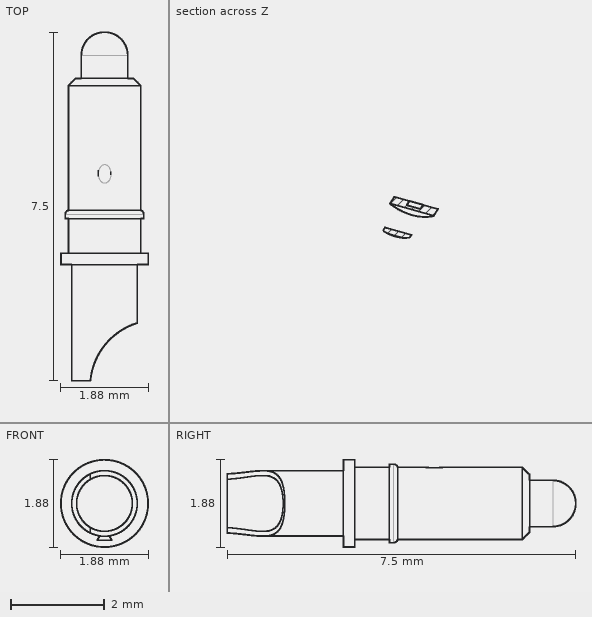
import cadquery as cq
import math

total_length = 7.5
end_y = -total_length / 2

cup_radius = 0.705
bore_radius = 0.6
bore_depth = 2.5
drill_point_angle = 118
scoop_radius = 1.43
scoop_center_x = 1.125
scoop_center_station = -0.13

flange_radius = 0.941
flange_start = 2.5
flange_end = 2.745

recess_top_width = 0.21
recess_bottom_width = 0.315
recess_height = 0.08
recess_depth = 0.15

barrel_radius = 0.78
barrel_end = 6.5
barrel_chamfer = 0.16

ring_radius = 0.85
ring_start = 3.49
ring_shoulder = 3.58
ring_end = 3.67

plunger_radius = 0.5
tip_start = total_length - plunger_radius

dimple_station = 4.455
dimple_length = 0.4
dimple_width = 0.27


def turned_body():
    """Revolve the outer profile about the pin axis."""
    profile = (
        cq.Workplane("XY")
        .moveTo(0, 0)
        .lineTo(cup_radius, 0)
        .lineTo(cup_radius, flange_start)
        .lineTo(flange_radius, flange_start)
        .lineTo(flange_radius, flange_end)
        .lineTo(barrel_radius, flange_end)
        .lineTo(barrel_radius, ring_start)
        .lineTo(ring_radius, ring_start)
        .lineTo(ring_radius, ring_shoulder)
        .tangentArcPoint((barrel_radius, ring_end), relative=False)
        .lineTo(barrel_radius, barrel_end - barrel_chamfer)
        .lineTo(barrel_radius - barrel_chamfer, barrel_end)
        .lineTo(plunger_radius, barrel_end)
        .lineTo(plunger_radius, tip_start)
        .radiusArc((0, total_length), -plunger_radius)
        .close()
    )
    return profile.revolve(360, (0, 0, 0), (0, 1, 0))


def cup_bore():
    """Blind bore with a conical drill point."""
    point_depth = bore_radius / math.tan(math.radians(drill_point_angle / 2))
    profile = cq.Workplane("XY").polyline(
        [(0, 0), (bore_radius, 0), (bore_radius, bore_depth), (0, bore_depth + point_depth)]
    )
    return profile.close().revolve(360, (0, 0, 0), (0, 1, 0))


def cup_scoop():
    """Cylinder along Z that opens the +X side of the solder cup."""
    return (
        cq.Workplane("XY")
        .center(scoop_center_x, scoop_center_station)
        .circle(scoop_radius)
        .extrude(flange_radius, both=True)
    )


def flange_recess():
    """Trapezoidal opening whose sloping roof meets the flat floor inside the flange."""
    roof_z = -cup_radius
    floor_z = roof_z - recess_height
    half_top = recess_top_width / 2
    half_bottom = recess_bottom_width / 2
    opening = cq.Workplane("XZ", origin=(0, flange_start, 0)).polyline(
        [(-half_top, roof_z), (half_top, roof_z), (half_bottom, floor_z), (-half_bottom, floor_z)]
    )
    prism = opening.close().extrude(-recess_depth)
    wedge = (
        cq.Workplane("YZ")
        .polyline(
            [(flange_start, roof_z), (flange_start, floor_z), (flange_start + recess_depth, floor_z)]
        )
        .close()
        .extrude(half_bottom, both=True)
    )
    return prism.intersect(wedge)


def crimp_dimple():
    """Ball whose cut into the round barrel leaves an oval rim."""
    half_length = dimple_length / 2
    half_width = dimple_width / 2
    rim_side_z = math.sqrt(barrel_radius**2 - half_width**2)
    center_z = half_length**2 / (2 * (barrel_radius - rim_side_z))
    ball_radius = math.hypot(half_length, center_z - barrel_radius)
    return cq.Workplane("XY").sphere(ball_radius).translate((0, dimple_station, center_z))


pin = turned_body()
pin = pin.cut(cup_bore())
pin = pin.cut(cup_scoop())
pin = pin.cut(flange_recess())
pin = pin.cut(crimp_dimple())
result = pin.translate((0, end_y, 0))